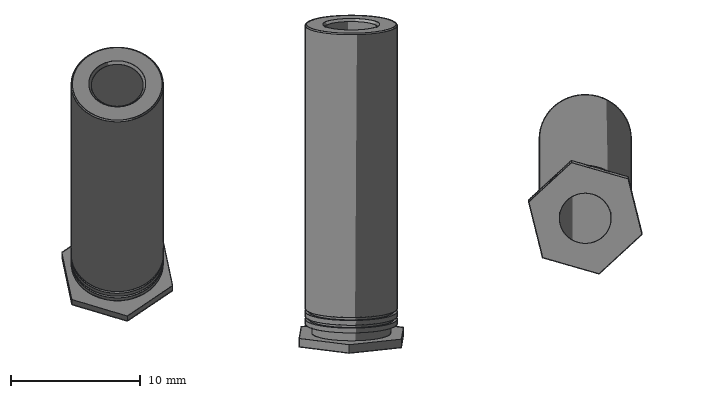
import cadquery as cq
import math

total_height = 25.0
body_diameter = 7.12
bore_diameter = 4.0

hex_across_flats = 7.9
hex_across_corners = hex_across_flats / math.cos(math.pi / 6)
hex_thickness = 0.68

neck_diameter = 6.1
neck_top = 1.4

groove_diameter = 6.6
ring_height = 0.38
groove_height = 0.22
ring_count = 2

rim_chamfer = 0.1
bore_chamfer = 0.2


def cylinder(diameter, bottom, top):
    """Solid cylinder on the Z axis between two heights."""
    return cq.Workplane("XY").workplane(offset=bottom).circle(diameter / 2).extrude(top - bottom)


def hex_head():
    """Hexagonal plate with two corners on the X axis."""
    return cq.Workplane("XY").polygon(6, hex_across_corners).extrude(hex_thickness)


def ringed_body():
    """Main barrel with its top rim chamfered and the ring grooves cut near its base."""
    body = cylinder(body_diameter, neck_top, total_height)
    body = body.faces(">Z").edges().chamfer(rim_chamfer)
    for index in range(ring_count):
        groove_bottom = neck_top + ring_height + index * (ring_height + groove_height)
        groove_top = groove_bottom + groove_height
        outer = cylinder(body_diameter, groove_bottom, groove_top)
        core = cylinder(groove_diameter, groove_bottom, groove_top)
        body = body.cut(outer.cut(core))
    return body


def bore():
    """Through bore with a 45 degree countersink at the top."""
    hole = cylinder(bore_diameter, 0, total_height)
    countersink = cq.Workplane(
        cq.Solid.makeCone(
            bore_diameter / 2,
            bore_diameter / 2 + bore_chamfer,
            bore_chamfer,
            pnt=cq.Vector(0, 0, total_height - bore_chamfer),
        )
    )
    return hole.union(countersink)


neck = cylinder(neck_diameter, hex_thickness, neck_top)
result = hex_head().union(neck).union(ringed_body()).cut(bore())